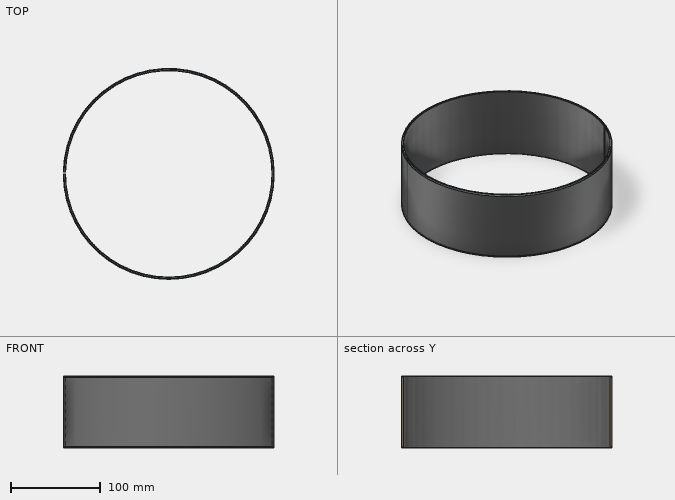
import cadquery as cq
import math

outer_diameter = 235.0
height = 80.0
wall_thickness = 2.5
outer_chamfer_height = 1.8
outer_chamfer_angle = 20.0
inner_chamfer = 0.35
slit_angle = 1.0

outer_radius = outer_diameter / 2
inner_radius = outer_radius - wall_thickness
outer_chamfer_depth = outer_chamfer_height * math.tan(math.radians(outer_chamfer_angle))


def chamfered_ring():
    """Thin ring with steep chamfers on its outer rims and small ones on its inner rims."""
    half_height = height / 2
    outer_rim_radius = outer_radius - outer_chamfer_depth
    inner_rim_radius = inner_radius + inner_chamfer
    outer_wall_top = half_height - outer_chamfer_height
    inner_wall_top = half_height - inner_chamfer
    wall_section = [
        (inner_radius, -inner_wall_top),
        (inner_rim_radius, -half_height),
        (outer_rim_radius, -half_height),
        (outer_radius, -outer_wall_top),
        (outer_radius, outer_wall_top),
        (outer_rim_radius, half_height),
        (inner_rim_radius, half_height),
        (inner_radius, inner_wall_top),
    ]
    return cq.Workplane("XZ").polyline(wall_section).close().revolve(360, (0, 0, 0), (0, 1, 0))


def slit_cutter():
    """Wedge from the ring axis that parts the wall on the -X side over its full height."""
    wedge_length = outer_radius + wall_thickness
    wedge_width = wedge_length * math.tan(math.radians(slit_angle))
    wedge_corners = [(0, 0), (-wedge_length, 0), (-wedge_length, wedge_width)]
    return cq.Workplane("XY").polyline(wedge_corners).close().extrude(height / 2, both=True)


result = chamfered_ring().cut(slit_cutter())